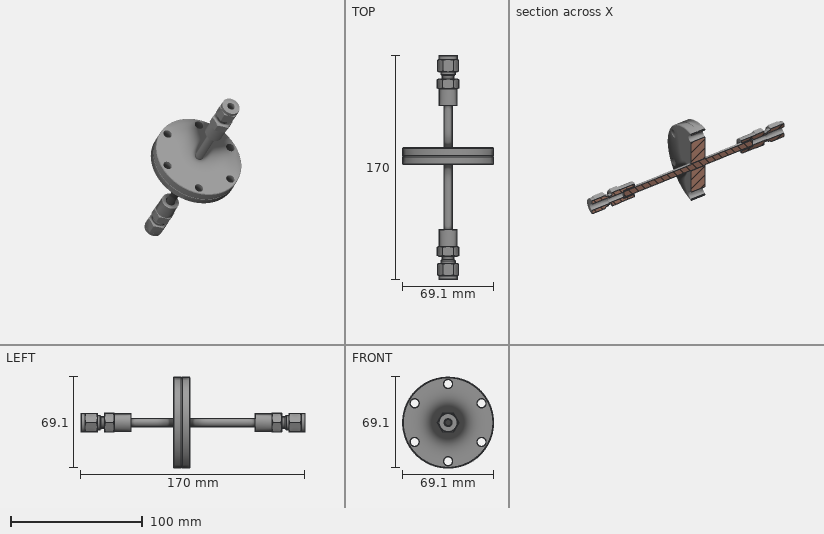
import cadquery as cq
import math


FLANGE_DIAMETER = 69.1
FLANGE_THICKNESS = 12.7
FLANGE_EDGE_CHAMFER = 0.5
GROOVE_CENTRE = -0.2
GROOVE_WIDTH = 1.0
GROOVE_DEPTH = 0.3
BOLT_HOLE_COUNT = 6
BOLT_HOLE_DIAMETER = 6.7
BOLT_CIRCLE_DIAMETER = 58.7

TUBE_DIAMETER = 6.35

TOTAL_LENGTH = 170.0
REAR_FACE_TO_REAR_END = 69.9

SLEEVE_DIAMETER = 13.72
SOCKET_DIAMETER = 7.62
NECK_DIAMETER = 8.95
COLLAR_DIAMETER = 11.11
CAP_DIAMETER = 13.97
TUBE_ENTRY_DIAMETER = 6.0
BORE_DIAMETER = 4.8
BODY_HEX_FLATS = 14.29
NUT_HEX_FLATS = 13.97
HEX_BEVEL_DIAMETER = SLEEVE_DIAMETER

SLEEVE_LENGTH = 12.8
BODY_HEX_LENGTH = 7.6
NECK_LENGTH = 2.4
COLLAR_TAPER_LENGTH = (COLLAR_DIAMETER - NECK_DIAMETER) / 2
COLLAR_LENGTH = 1.8
NUT_HEX_LENGTH = 9.5
CAP_LENGTH = 2.8
SOCKET_DEPTH = 10.0
TUBE_ENTRY_DEPTH = 15.2
HEX_BEVEL_ANGLE = math.radians(30)

BODY_HEX_START = SLEEVE_LENGTH
NECK_START = BODY_HEX_START + BODY_HEX_LENGTH
TAPER_START = NECK_START + NECK_LENGTH
COLLAR_START = TAPER_START + COLLAR_TAPER_LENGTH
NUT_START = COLLAR_START + COLLAR_LENGTH
CAP_START = NUT_START + NUT_HEX_LENGTH
FITTING_LENGTH = CAP_START + CAP_LENGTH

FLANGE_FRONT = -FLANGE_THICKNESS / 2
FLANGE_REAR = FLANGE_THICKNESS / 2
REAR_END = FLANGE_REAR + REAR_FACE_TO_REAR_END
FRONT_END = REAR_END - TOTAL_LENGTH


def y_cylinder(diameter, start, length):
    """Cylinder on the Y axis, from Y = start toward +Y."""
    return cq.Workplane("XZ", origin=(0, start, 0)).circle(diameter / 2).extrude(-length)


def y_revolve(points):
    """Solid of revolution about Y from (radius, Y) points."""
    return cq.Workplane("XY").polyline(points).close().revolve(360, (0, 0, 0), (0, 1, 0))


def bevelled_hexagon(flats, start, length):
    """Hexagonal prism with two corners in the XY plane and its corners bevelled at both ends.

    The bevels begin at HEX_BEVEL_DIAMETER on the two end faces.
    """
    end = start + length
    corner_diameter = flats / math.cos(math.pi / 6)
    corner_radius = corner_diameter / 2
    face_radius = HEX_BEVEL_DIAMETER / 2
    bevel = (corner_radius - face_radius) * math.tan(HEX_BEVEL_ANGLE)
    envelope = y_revolve([
        (0, start),
        (face_radius, start),
        (corner_radius, start + bevel),
        (corner_radius, end - bevel),
        (face_radius, end),
        (0, end),
    ])
    prism = cq.Workplane("XZ", origin=(0, start, 0)).polygon(6, corner_diameter).extrude(-length)
    return prism.intersect(envelope)


def make_flange():
    flange = y_cylinder(FLANGE_DIAMETER, FLANGE_FRONT, FLANGE_THICKNESS)
    flange = flange.faces("<Y or >Y").edges().chamfer(FLANGE_EDGE_CHAMFER)
    groove_start = GROOVE_CENTRE - GROOVE_WIDTH / 2
    groove_floor = y_cylinder(FLANGE_DIAMETER - 2 * GROOVE_DEPTH, groove_start, GROOVE_WIDTH)
    groove = y_cylinder(FLANGE_DIAMETER, groove_start, GROOVE_WIDTH).cut(groove_floor)
    bolt_holes = (
        cq.Workplane("XZ", origin=(0, FLANGE_FRONT, 0))
        .polarArray(BOLT_CIRCLE_DIAMETER / 2, 90, 360, BOLT_HOLE_COUNT)
        .circle(BOLT_HOLE_DIAMETER / 2)
        .extrude(-FLANGE_THICKNESS)
    )
    tube_hole = y_cylinder(TUBE_DIAMETER, FLANGE_FRONT, FLANGE_THICKNESS)
    return flange.cut(groove).cut(bolt_holes).cut(tube_hole)


def make_tube():
    start = FRONT_END + FITTING_LENGTH - SOCKET_DEPTH
    end = REAR_END - FITTING_LENGTH + SOCKET_DEPTH
    return y_cylinder(TUBE_DIAMETER, start, end - start)


def make_fitting():
    """Fitting with its sleeve face at Y = 0 and its open end toward +Y."""
    turned = y_revolve([
        (0, 0),
        (SLEEVE_DIAMETER / 2, 0),
        (SLEEVE_DIAMETER / 2, BODY_HEX_START),
        (NECK_DIAMETER / 2, BODY_HEX_START),
        (NECK_DIAMETER / 2, TAPER_START),
        (COLLAR_DIAMETER / 2, COLLAR_START),
        (COLLAR_DIAMETER / 2, CAP_START),
        (CAP_DIAMETER / 2, CAP_START),
        (CAP_DIAMETER / 2, FITTING_LENGTH),
        (0, FITTING_LENGTH),
    ])
    body_hex = bevelled_hexagon(BODY_HEX_FLATS, BODY_HEX_START, BODY_HEX_LENGTH)
    nut_hex = bevelled_hexagon(NUT_HEX_FLATS, NUT_START, NUT_HEX_LENGTH)
    socket = y_cylinder(SOCKET_DIAMETER, 0, SOCKET_DEPTH)
    bore = y_cylinder(BORE_DIAMETER, 0, FITTING_LENGTH)
    tube_entry = y_cylinder(TUBE_ENTRY_DIAMETER, FITTING_LENGTH - TUBE_ENTRY_DEPTH, TUBE_ENTRY_DEPTH)
    return turned.union(body_hex).union(nut_hex).cut(socket).cut(bore).cut(tube_entry)


flange = make_flange()
tube = make_tube()

fittings = []
for end, turn in ((REAR_END, 0), (FRONT_END, 180)):
    sleeve_face_distance = abs(end) - FITTING_LENGTH
    fitting = make_fitting().translate((0, sleeve_face_distance, 0))
    fittings.append(fitting.rotate((0, 0, 0), (0, 0, 1), turn))

result = cq.Compound.makeCompound([
    flange.val(),
    tube.val(),
    *[fitting.val() for fitting in fittings],
])